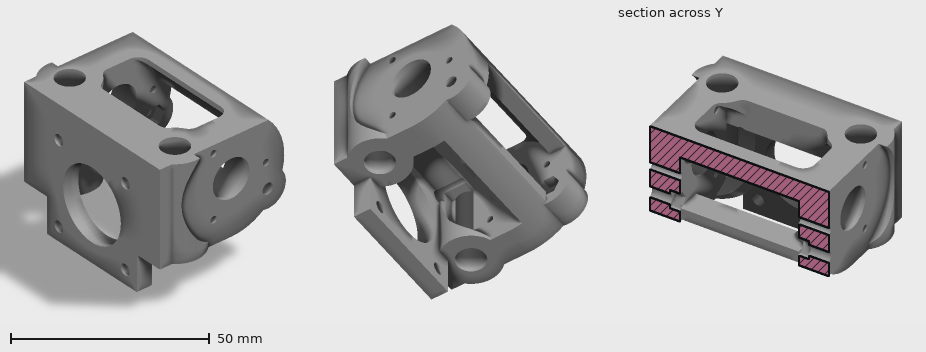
import cadquery as cq
import math


body_width = 53.0
body_height = 30.0
disc_radius = 17.5
disc_y = 23.45
disc_z = disc_radius - body_height

ear_radius = 6.0
ear_y = 41.45 - ear_radius
ear_z = -20.6
ear_hole_diameter = 3.4
nut_across_flats = 5.5
nut_depth = 3.0

boss_radius = 8.45
boss_x = 29 - boss_radius
boss_y = 10.0
rod_diameter = 8.2

plate_thickness = 5.0
plate_width = 35.0
plate_bottom = -41.25
motor_z = -23.8
motor_bore = 22.5
motor_hole_spacing = 26.0
motor_hole_diameter = 3.4

bearing_bore = 12.0
bearing_hole_diameter = 2.1
bearing_hole_radius = 11.5

cavity_width = plate_width
cavity_ceiling = -9.4
slot_bottom = -22.4
cavity_back = 27.5
cross_bar_back = 34.8
rotor_radius = 13.0
window_front = 13.0
window_back = 30.5
window_back_fillet = 3.5
window_front_fillet = 2.9

overrun = 2.9


def block(x_size, y_min, y_max, z_min, z_max):
    """Box centred on X with the given Y and Z limits."""
    size_y = y_max - y_min
    size_z = z_max - z_min
    solid = cq.Workplane("XY").box(x_size, size_y, size_z, centered=(True, False, False))
    return solid.translate((0, y_min, z_min))


def x_cylinder(y, z, radius, length):
    """Cylinder along X, centred on X = 0."""
    return cq.Workplane("YZ").center(y, z).circle(radius).extrude(length / 2, both=True)


def y_cylinder(x, z, radius, length):
    """Cylinder from the front face toward +Y."""
    return cq.Workplane("XZ").center(x, z).circle(radius).extrude(-length)


def rod_bosses(radius):
    """Full-height cylinders on both rod axes."""
    centers = [(-boss_x, boss_y), (boss_x, boss_y)]
    return cq.Workplane("XY").pushPoints(centers).circle(radius).extrude(-body_height)


def outer_body():
    """Rounded-back body with ears, rod bosses and motor plate."""
    envelope = block(body_width, 0, ear_y + ear_radius, -body_height, 0)
    body = x_cylinder(disc_y, disc_z, disc_radius, body_width).intersect(envelope)
    body = body.union(block(body_width, 0, disc_y, -body_height, 0))
    ears = x_cylinder(ear_y, ear_z, ear_radius, body_width)
    body = body.union(ears.cut(block(cavity_width, 0, ear_y + 2 * ear_radius, -body_height, 0)))

    bosses = rod_bosses(boss_radius)
    bosses = bosses.cut(x_cylinder(disc_y, disc_z, disc_radius, 2 * body_width))
    plate = block(plate_width, 0, plate_thickness, plate_bottom, 0)
    return body.union(bosses).union(plate)


def top_window():
    """Filleted opening in the top, shaped around the rod bosses."""
    window = block(cavity_width, window_front, window_back, cavity_ceiling, overrun)
    keep_out = rod_bosses(boss_radius).translate((0, 0, 2 * overrun))
    window = window.cut(keep_out)
    window = window.edges("|Z and (not >Y)").fillet(window_front_fillet)
    return window.edges("|Z and >Y").edges("<X or >X").fillet(window_back_fillet)


def inner_cavity():
    """Space for the motor and rotor, open below and at the rear."""
    cavity = block(cavity_width, plate_thickness, cavity_back, -body_height - overrun, cavity_ceiling)
    bosses = rod_bosses(boss_radius).cut(x_cylinder(disc_y, disc_z, disc_radius, body_width))
    cavity = cavity.cut(bosses)
    rear_end = ear_y + 2 * ear_radius
    cavity = cavity.union(block(cavity_width, cavity_back, rear_end, slot_bottom, cavity_ceiling))
    cavity = cavity.union(block(cavity_width, cross_bar_back, rear_end, -body_height, cavity_ceiling))
    rotor = x_cylinder(disc_y, disc_z, rotor_radius, cavity_width)
    rotor_top = block(cavity_width, window_front, rear_end, cavity_ceiling, overrun)
    return cavity.union(rotor.intersect(rotor_top))


def motor_holes():
    """Large motor bore and its four screw holes."""
    holes = y_cylinder(0, motor_z, motor_bore / 2, plate_thickness)
    offset = motor_hole_spacing / 2
    for x in (-offset, offset):
        for z in (motor_z - offset, motor_z + offset):
            holes = holes.union(y_cylinder(x, z, motor_hole_diameter / 2, cavity_back))
    return holes


def side_holes():
    """Bearing bore, three screw holes and ear hole through both walls."""
    length = body_width + 2 * overrun
    holes = x_cylinder(disc_y, disc_z, bearing_bore / 2, length)
    holes = holes.union(x_cylinder(ear_y, ear_z, ear_hole_diameter / 2, length))
    for angle in (0, 120, 240):
        y = disc_y + bearing_hole_radius * math.cos(math.radians(angle))
        z = disc_z + bearing_hole_radius * math.sin(math.radians(angle))
        holes = holes.union(x_cylinder(y, z, bearing_hole_diameter / 2, length))
    return holes


def nut_traps():
    """Hexagonal pockets on the inner faces of both ears."""
    across_corners = nut_across_flats / math.cos(math.pi / 6)
    hexagon = cq.Workplane("YZ").center(ear_y, ear_z).polygon(6, across_corners)
    traps = hexagon.extrude(cavity_width / 2 + nut_depth, both=True)
    return traps.cut(x_cylinder(ear_y, ear_z, across_corners, cavity_width))


result = outer_body()
for cutter in (top_window(), inner_cavity(), motor_holes(), side_holes(), nut_traps()):
    result = result.cut(cutter)
result = result.cut(rod_bosses(rod_diameter / 2))